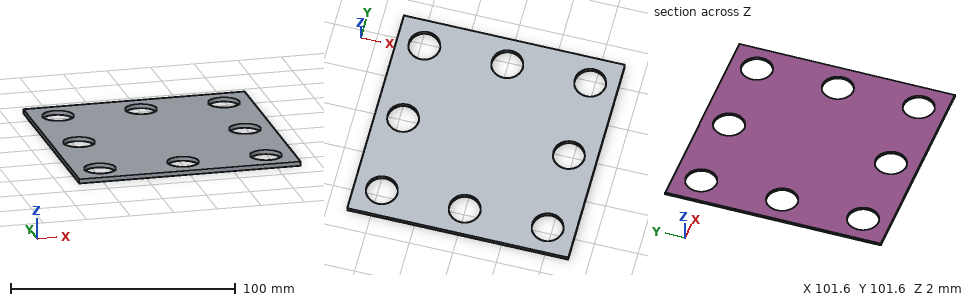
import cadquery as cq

plate_side = 101.6
plate_thickness = 2

hole_diameter = 14.2
edge_to_hole_center = 12.7
hole_pitch = plate_side / 2 - edge_to_hole_center

grid_offsets = (-hole_pitch, 0, hole_pitch)
hole_centers = [
    (x, y)
    for x in grid_offsets
    for y in grid_offsets
    if (x, y) != (0, 0)
]

plate = cq.Workplane("XY").box(plate_side, plate_side, plate_thickness)
result = plate.faces(">Z").workplane().pushPoints(hole_centers).hole(hole_diameter)